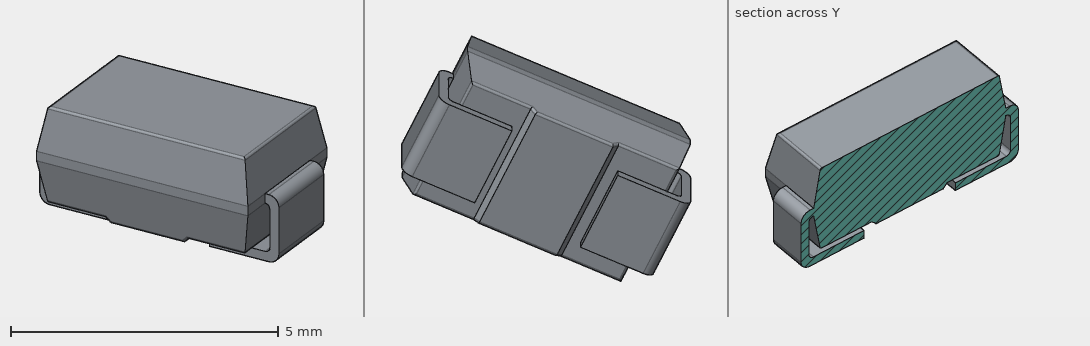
import cadquery as cq
import math

total_length = 5.2
body_width = 2.9
total_height = 2.3

body_length = 4.595
draft_angle = math.radians(10)
edge_radius = 0.05
body_bottom = 0.3
pad_length = 1.6

lead_thickness = 0.2
lead_width = 1.65
lead_top = 1.4
foot_length = 1.51
bend_outer_radius = 0.22
bend_inner_radius = 0.1

belt_top = lead_top
belt_bottom = lead_top - lead_thickness
pad_bottom = lead_thickness
pad_height = body_bottom - pad_bottom


def drafted_block(start_z, end_z):
    """Block with the belt outline at start_z, narrowing with the draft towards end_z."""
    inset = abs(end_z - start_z) * math.tan(draft_angle)
    return (
        cq.Workplane("XY", origin=(0, 0, start_z))
        .rect(body_length, body_width)
        .workplane(offset=end_z - start_z)
        .rect(body_length - 2 * inset, body_width - 2 * inset)
        .loft(ruled=True)
    )


def make_upper_body():
    return drafted_block(belt_top, total_height).faces(">Z").edges().fillet(edge_radius)


def make_lower_body():
    """Lower half whose underside steps down to a central pad."""
    half_pad = pad_length / 2
    half_step = half_pad + pad_height
    half_length = body_length / 2
    side_profile = (
        cq.Workplane("XZ")
        .moveTo(-half_length, belt_bottom)
        .lineTo(-half_length, body_bottom)
        .lineTo(-half_step, body_bottom)
        .lineTo(-half_pad, pad_bottom)
        .lineTo(half_pad, pad_bottom)
        .lineTo(half_step, body_bottom)
        .lineTo(half_length, body_bottom)
        .lineTo(half_length, belt_bottom)
        .close()
        .extrude(body_width / 2, both=True)
    )
    lower = drafted_block(belt_bottom, pad_bottom).intersect(side_profile)
    underside = cq.selectors.BoxSelector(
        (-body_length, -body_width, 0),
        (body_length, body_width, body_bottom + edge_radius),
    )
    long_sides = lower.faces("<Y or >Y").edges(underside)
    short_ends = lower.faces("<X or >X").edges(underside)
    return long_sides.add(short_ends).fillet(edge_radius)


def make_belt():
    belt_height = belt_top - belt_bottom
    return (
        cq.Workplane("XY", origin=(0, 0, belt_bottom))
        .rect(body_length, body_width)
        .extrude(belt_height)
    )


def make_lead():
    """C-shaped lead on the -X end, bent down and under the body."""
    outer_x = -total_length / 2
    inner_x = outer_x + lead_thickness
    lead_block = (
        cq.Workplane("XZ", origin=(outer_x, 0, 0))
        .rect(foot_length, lead_top, centered=False)
        .extrude(lead_width / 2, both=True)
        .edges("|Y and <X")
        .fillet(bend_outer_radius)
    )
    bend_gap = (
        cq.Workplane("XZ", origin=(inner_x, 0, lead_thickness))
        .rect(foot_length, belt_bottom - lead_thickness, centered=False)
        .extrude(lead_width, both=True)
        .edges("|Y and <X")
        .fillet(bend_inner_radius)
    )
    return lead_block.cut(bend_gap)


lead = make_lead()
result = (
    make_belt()
    .union(make_upper_body())
    .union(make_lower_body())
    .union(lead)
    .union(lead.mirror("YZ"))
)